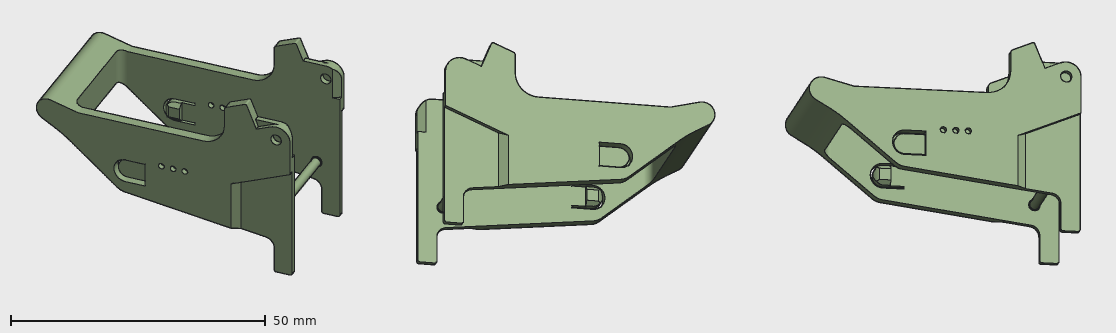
import cadquery as cq
import math

LENGTH = 54.2
WIDTH = 27.0
HEIGHT = 37.75
ARM_THICKNESS = 2.2
INNER_Y = WIDTH / 2 - ARM_THICKNESS

LEAN = math.radians(22.5)

GRIP_RADIUS = 2.5
GRIP_Z = 26.25
GRIP_TOP_SLOPE = math.radians(14.4)
GRIP_BOTTOM_SLOPE = math.radians(30)
WINDOW_X = 7.15
WINDOW_CORNER_RADIUS = 1.6

ARM_TOP_Z = 27.15
TOOTH_X = 40.15
TOOTH_TIP_X = 44.8
TOOTH_SWEEP_RADIUS = 4.6
TOOTH_CORNER_RADIUS = 0.65
TOOTH_TIP_RADIUS = 0.3
LUG_RADIUS = 3.0
LUG_X = LENGTH - LUG_RADIUS
LUG_Z = 31.15
LEG_X = 50.35
LEG_TOP_Z = 7.3
LEG_CORNER_RADIUS = 2.05
LEG_TIP_RADIUS = 0.45
UNDERSIDE_SLOPE = math.radians(7.2)
BELLY_X = 18.0
BELLY_RADIUS = 3.25
THROAT_X = 5.7
THROAT_RADIUS = 24.4

PANEL_STEP = 1.05
PANEL_FRONT_X = 41.55
PANEL_RAMP = 1.75
PANEL_REAR_Z = 23.9

BEVEL_LENGTH = 1.55
BEVEL_DEPTH = 1.0

TONGUE_X = 19.1
TONGUE_Z = 16.2
TONGUE_ROOT_X = 23.25
TONGUE_RADIUS = 2.0
TONGUE_GAP = 0.5
TONGUE_RECESS = 1.05
CATCH_HEIGHT = 1.2
CATCH_CHAMFER = 0.85
CATCH_RAMP = 1.1
CATCH_RAMP_BULGE = 0.1
CATCH_END_X = 20.5

HOLE_DEPTH = 1.25
PIVOT_HOLE_DIAMETER = 2.2
SMALL_HOLE_DIAMETER = 1.2
SMALL_HOLE_COUNT = 3
SMALL_HOLE_X = 26.7
SMALL_HOLE_PITCH = 2.5
SMALL_HOLE_Z = 19.15

PIN_DIAMETER = 1.95
PIN_X = 49.25
PIN_Z = 11.65
PIN_COLLAR = 0.3
PIN_COLLAR_STEP = 0.15


def side_sketch(y):
    """Workplane at the given Y whose sketch axes are X and Z and whose normal is +Y."""
    return cq.Workplane(cq.Plane((0, y, 0), (1, 0, 0), (0, 1, 0)))


def plate(points, y_from, y_to):
    """Prism with an (X, Z) outline spanning two Y positions."""
    outline = [(x, -z) for x, z in points]
    return side_sketch(y_from).polyline(outline).close().extrude(y_to - y_from)


def rod(x, z, radius, y_from, y_to):
    return side_sketch(y_from).center(x, -z).circle(radius).extrude(y_to - y_from)


def round_at(body, x, z, radius):
    """Round the edge along Y that passes through (x, z)."""
    reach = 0.025
    corner = cq.selectors.BoxSelector((x - reach, -WIDTH, z - reach), (x + reach, WIDTH, z + reach))
    return body.edges("|Y").edges(corner).fillet(radius)


TOOTH_TIP_Z = HEIGHT + TOOTH_TIP_RADIUS * (math.sin(LEAN) + math.cos(LEAN) - 1)

grip_top = (
    GRIP_RADIUS * (1 + math.sin(GRIP_TOP_SLOPE)),
    GRIP_Z + GRIP_RADIUS * math.cos(GRIP_TOP_SLOPE),
)
grip_bottom = (
    GRIP_RADIUS * (1 - math.sin(GRIP_BOTTOM_SLOPE)),
    GRIP_Z - GRIP_RADIUS * math.cos(GRIP_BOTTOM_SLOPE),
)
grip_ramp_end_x = grip_top[0] + (grip_top[1] - ARM_TOP_Z) / math.tan(GRIP_TOP_SLOPE)
throat_z = grip_bottom[1] - (THROAT_X - grip_bottom[0]) * math.tan(GRIP_BOTTOM_SLOPE)
belly_z = LEG_TOP_Z + (LEG_X - BELLY_X) * math.tan(UNDERSIDE_SLOPE)
tooth_corner_z = TOOTH_TIP_Z - (TOOTH_TIP_X - TOOTH_X) * math.tan(LEAN)
lug_top_z = LUG_Z + LUG_RADIUS

flank_rise = (LUG_X - TOOTH_TIP_X) * math.sin(LEAN) + (TOOTH_TIP_Z - LUG_Z) * math.cos(LEAN)
flank_length = flank_rise - LUG_RADIUS
notch_corner = (
    TOOTH_TIP_X + flank_length * math.sin(LEAN),
    TOOTH_TIP_Z - flank_length * math.cos(LEAN),
)
notch_floor_end = (LUG_X - LUG_RADIUS * math.sin(LEAN), LUG_Z + LUG_RADIUS * math.cos(LEAN))
inner_notch_x = TOOTH_TIP_X + (TOOTH_TIP_Z - lug_top_z) * math.tan(LEAN)


def side_profile():
    """Full-width prism of the side outline; the notch starts with a level floor."""
    body = plate(
        [
            grip_top,
            (grip_ramp_end_x, ARM_TOP_Z),
            (TOOTH_X, ARM_TOP_Z),
            (TOOTH_X, tooth_corner_z),
            (TOOTH_TIP_X, TOOTH_TIP_Z),
            (inner_notch_x, lug_top_z),
            (LENGTH, lug_top_z),
            (LENGTH, 0),
            (LEG_X, 0),
            (LEG_X, LEG_TOP_Z),
            (BELLY_X, belly_z),
            (THROAT_X, throat_z),
            grip_bottom,
            (GRIP_RADIUS, GRIP_Z),
        ],
        -WIDTH / 2,
        WIDTH / 2,
    )
    for x, z, radius in [
        (TOOTH_X, ARM_TOP_Z, TOOTH_SWEEP_RADIUS),
        (TOOTH_X, tooth_corner_z, TOOTH_CORNER_RADIUS),
        (TOOTH_TIP_X, TOOTH_TIP_Z, TOOTH_TIP_RADIUS),
        (LENGTH, lug_top_z, LUG_RADIUS),
        (LENGTH, 0, LEG_TIP_RADIUS),
        (LEG_X, 0, LEG_TIP_RADIUS),
        (LEG_X, LEG_TOP_Z, LEG_CORNER_RADIUS),
        (BELLY_X, belly_z, BELLY_RADIUS),
        (THROAT_X, throat_z, THROAT_RADIUS),
    ]:
        body = round_at(body, x, z, radius)
    return body.union(rod(GRIP_RADIUS, GRIP_Z, GRIP_RADIUS, -WIDTH / 2, WIDTH / 2))


def window():
    """Opening between the arms, running out through the rear."""
    depth = LENGTH
    return (
        cq.Workplane("XY")
        .box(2 * depth, 2 * INNER_Y, 2 * LENGTH)
        .translate((WINDOW_X + depth, 0, 0))
        .edges("|Z and <X")
        .fillet(WINDOW_CORNER_RADIUS)
    )


OUTER_FACE = -WIDTH / 2
INNER_FACE = -INNER_Y
STEP_FACE = OUTER_FACE + PANEL_STEP


def notch_cutter():
    """Sloping notch floor on the outer half of the arm."""
    above_floor = plate(
        [
            notch_corner,
            notch_floor_end,
            (LUG_X, LUG_Z),
            (LUG_X, lug_top_z),
            (inner_notch_x, lug_top_z),
        ],
        OUTER_FACE,
        STEP_FACE,
    )
    return above_floor.cut(rod(LUG_X, LUG_Z, LUG_RADIUS, OUTER_FACE, STEP_FACE))


def panel_cutter():
    """Step on the outside of the rear panel, with the ramp along its front edge."""
    front_z = PANEL_REAR_Z - (LENGTH - PANEL_FRONT_X) * math.tan(LEAN)
    panel = plate(
        [(PANEL_FRONT_X, 0), (PANEL_FRONT_X, front_z), (LENGTH, PANEL_REAR_Z), (LENGTH, 0)],
        OUTER_FACE,
        STEP_FACE,
    )
    ramp = (
        cq.Workplane("XY")
        .polyline(
            [
                (PANEL_FRONT_X, OUTER_FACE),
                (PANEL_FRONT_X, STEP_FACE),
                (PANEL_FRONT_X + PANEL_RAMP, STEP_FACE),
            ]
        )
        .close()
        .extrude(LENGTH)
    )
    return panel.cut(ramp)


def bevel_cutter():
    return (
        cq.Workplane("XY", origin=(0, 0, ARM_TOP_Z))
        .polyline(
            [
                (LENGTH, INNER_FACE),
                (LENGTH - BEVEL_LENGTH, INNER_FACE),
                (LENGTH, INNER_FACE - BEVEL_DEPTH),
            ]
        )
        .close()
        .extrude(LENGTH)
    )


def tongue_shape(radius, end_x, y_from, y_to):
    """D-shaped prism, rounded toward the grip and squared off at end_x."""
    return (
        side_sketch(y_from)
        .moveTo(TONGUE_X, -TONGUE_Z - radius)
        .lineTo(end_x, -TONGUE_Z - radius)
        .lineTo(end_x, -TONGUE_Z + radius)
        .lineTo(TONGUE_X, -TONGUE_Z + radius)
        .threePointArc((TONGUE_X - radius, -TONGUE_Z), (TONGUE_X, -TONGUE_Z - radius))
        .close()
        .extrude(y_to - y_from)
    )


def catch():
    """Catch on the tongue: bevelled above and below, with a bulging ramp toward the grip."""
    front_x = TONGUE_X - TONGUE_RADIUS
    block = tongue_shape(TONGUE_RADIUS, CATCH_END_X, INNER_FACE, INNER_FACE + CATCH_HEIGHT)
    bevels = (
        cq.Workplane("XY")
        .box(2 * TONGUE_RADIUS + CATCH_END_X - TONGUE_X, CATCH_HEIGHT, 2 * TONGUE_RADIUS)
        .faces(">Y")
        .edges("|X")
        .chamfer(CATCH_CHAMFER)
        .translate((TONGUE_X, INNER_FACE + CATCH_HEIGHT / 2, TONGUE_Z))
    )
    ramp = (
        cq.Workplane("XY")
        .moveTo(CATCH_END_X, INNER_FACE)
        .lineTo(CATCH_END_X, INNER_FACE + CATCH_HEIGHT)
        .lineTo(front_x + CATCH_RAMP, INNER_FACE + CATCH_HEIGHT)
        .sagittaArc((front_x, INNER_FACE), -CATCH_RAMP_BULGE)
        .close()
        .extrude(LENGTH)
    )
    return block.intersect(bevels).intersect(ramp)


def tongue():
    """Tongue level with the arm's inner face, plus its catch pointing inward."""
    blade = tongue_shape(TONGUE_RADIUS, TONGUE_ROOT_X, OUTER_FACE + TONGUE_RECESS, INNER_FACE)
    return blade.union(catch())


def arm_cutters():
    slot = tongue_shape(TONGUE_RADIUS + TONGUE_GAP, TONGUE_ROOT_X, OUTER_FACE, INNER_FACE)
    return [notch_cutter(), panel_cutter(), bevel_cutter(), slot]


def on_both_arms(shape):
    return shape.union(shape.mirror("XZ"))


def blind_holes(face_y):
    """Pivot hole and row of small holes entering at face_y."""
    holes = rod(LUG_X, LUG_Z, PIVOT_HOLE_DIAMETER / 2, face_y, face_y + HOLE_DEPTH)
    for i in range(SMALL_HOLE_COUNT):
        x = SMALL_HOLE_X + i * SMALL_HOLE_PITCH
        holes = holes.union(rod(x, SMALL_HOLE_Z, SMALL_HOLE_DIAMETER / 2, face_y, face_y + HOLE_DEPTH))
    return holes


def pin_collar():
    """Small cone easing the pin into the arm."""
    base = rod(PIN_X, PIN_Z, PIN_DIAMETER / 2 + PIN_COLLAR_STEP, INNER_FACE, INNER_FACE + PIN_COLLAR)
    return base.faces(">Y").chamfer(PIN_COLLAR_STEP)


result = side_profile().cut(window())
for cutter in arm_cutters():
    result = result.cut(on_both_arms(cutter))
for hole_face in (OUTER_FACE, INNER_Y):
    result = result.cut(blind_holes(hole_face))
for addition in (tongue(), pin_collar()):
    result = result.union(on_both_arms(addition))
result = result.union(rod(PIN_X, PIN_Z, PIN_DIAMETER / 2, -INNER_Y, INNER_Y))